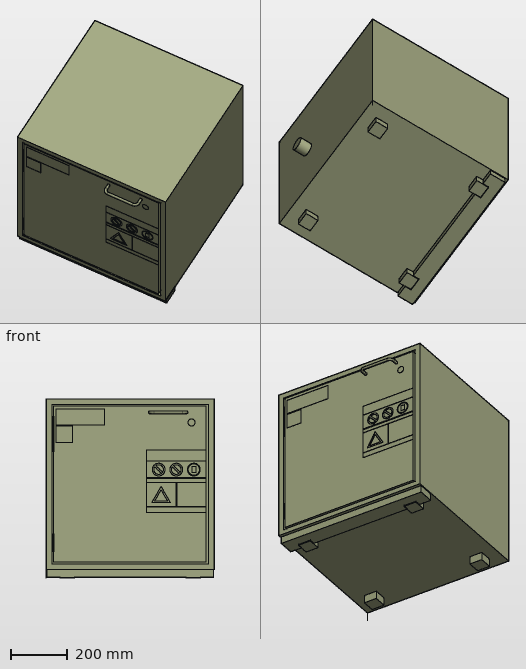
import cadquery as cq
import math


total_depth = 658.0
total_height = 631.0
cabinet_width = 593.0
cabinet_depth = 574.0
cabinet_height = 600.0
cabinet_base = total_height - cabinet_height
cabinet_left = -cabinet_width / 2

recess_margin = 20.5
recess_margin_bottom = 18.5
door_thickness = 39.5
gap_left = 6.0
gap_right = 8.5
gap_top = 4.0
gap_bottom = 7.0
recess_left = cabinet_left + recess_margin
recess_right = -recess_left
recess_top = total_height - recess_margin
recess_bottom = cabinet_base + recess_margin_bottom
door_left = recess_left + gap_left
door_right = recess_right - gap_right
door_top = recess_top - gap_top
door_bottom = recess_bottom + gap_bottom

hinge_diameter = 5.0
hinge_overlap = 1.0
hinge_setout = 1.0
upper_hinge_length = 124.0
upper_hinge_bottom = 445.5
lower_hinge_length = 62.0
lower_hinge_bottom = 94.0

lock_diameter = 25.0
lock_x = 216.0
lock_z = 548.0

label_height = 0.3
label_seam = 0.5
corner_label_left = -261.0
corner_label_top = 595.5
corner_label_width = 172.0
corner_label_height = 57.0
small_label_size = 58.5
sign_label_left = 57.0
sign_label_top = 451.0
title_height = 38.0
pictogram_row_height = 59.0
caption_height = 14.0
warning_height = 85.5
footer_height = 20.5
label_gap = 2.5
warning_width = 104.5

sign_diameter = 45.0
prohibition_inner_diameter = 33.5
mandatory_inner_diameter = 40.0
sign_bar_width = 6.0
sign_spacing = 62.0
first_sign_x = 100.0
signs_z = 382.0
can_width = 14.5
can_height = 20.5
triangle_x = 108.5
triangle_base_z = 266.0
triangle_width = 66.0
triangle_border = 6.0

handle_diameter = 10.0
handle_bend_inner_diameter = 20.0
handle_bend_radius = (handle_bend_inner_diameter + handle_diameter) / 2
handle_reach = 39.0
handle_width = 139.0
handle_x = 133.5
handle_z = 583.5

duct_diameter = 50.0
duct_length = total_depth - cabinet_depth - handle_reach
duct_x = 115.0
duct_z = 296.0
corner_strip_size = 0.5

foot_size = 50.0
foot_side_inset = 50.0
front_foot_inset = 50.0
rear_foot_inset = 47.5
foot_height = cabinet_base
plinth_side_inset = 2.5
plinth_setback = 12.0
plinth_depth = 62.0
plinth_height = 27.5


def block(left, front, bottom, width, depth, height):
    """Box given by its left, front, bottom corner and its sizes."""
    return cq.Workplane("XY").box(width, depth, height, centered=False).translate((left, front, bottom))


def front_plane(x, z, height=0.0):
    """Sketch plane facing the front, centred at x, z and standing `height` out of the front face."""
    return cq.Workplane("XZ", origin=(x, -height, z))


def make_carcass():
    """Cabinet block with the door recess, the rear duct and the thin strip down its rear left corner."""
    carcass = block(cabinet_left, 0, cabinet_base, cabinet_width, cabinet_depth, cabinet_height)
    carcass = carcass.cut(
        block(
            recess_left,
            0,
            recess_bottom,
            recess_right - recess_left,
            door_thickness,
            recess_top - recess_bottom,
        )
    )
    duct = (
        cq.Workplane("XZ", origin=(duct_x, cabinet_depth, duct_z))
        .circle(duct_diameter / 2)
        .extrude(-duct_length)
    )
    corner_strip = block(
        cabinet_left,
        cabinet_depth - corner_strip_size,
        0,
        corner_strip_size,
        corner_strip_size,
        total_height,
    )
    return carcass.union(duct).union(corner_strip)


def label_plate(left, top, width, height):
    """Thin plate on the door front, held back by half a seam on every side."""
    return block(
        left + label_seam / 2,
        -label_height,
        top - height + label_seam / 2,
        width - label_seam,
        label_height,
        height - label_seam,
    )


def make_corner_labels():
    """Wide plate in the upper left corner with a small square plate below it."""
    small_label_top = corner_label_top - corner_label_height - label_gap
    return [
        label_plate(corner_label_left, corner_label_top, corner_label_width, corner_label_height),
        label_plate(corner_label_left, small_label_top, small_label_size, small_label_size),
    ]


def make_sign_labels():
    """Stack of plates, from the title down to the footer; the warning row is split in two."""
    width = door_right - sign_label_left
    pictogram_top = sign_label_top - title_height
    caption_top = pictogram_top - pictogram_row_height - label_gap
    warning_top = caption_top - caption_height
    footer_top = warning_top - warning_height
    rating_left = sign_label_left + warning_width + label_gap
    return [
        label_plate(sign_label_left, sign_label_top, width, title_height),
        label_plate(sign_label_left, pictogram_top, width, pictogram_row_height),
        label_plate(sign_label_left, caption_top, width, caption_height),
        label_plate(sign_label_left, warning_top, warning_width, warning_height),
        label_plate(rating_left, warning_top, door_right - rating_left, warning_height),
        label_plate(sign_label_left, footer_top, width, footer_height),
    ]


def sign_ring(x, inner_diameter):
    """Round border of a pictogram."""
    ring = front_plane(x, signs_z, label_height).circle(sign_diameter / 2).circle(inner_diameter / 2)
    return ring.extrude(label_height)


def prohibition_sign(x):
    """Ring crossed by a bar that falls from upper left to lower right."""
    middle_diameter = (sign_diameter + prohibition_inner_diameter) / 2
    bar = (
        front_plane(x, signs_z, label_height)
        .transformed(rotate=(0, 0, -45))
        .rect(middle_diameter, sign_bar_width)
        .extrude(label_height)
    )
    return sign_ring(x, prohibition_inner_diameter).union(bar)


def warning_triangle():
    """Triangular border with equal sides; the circle through its corners is four inradii across."""
    inradius = triangle_width * math.sqrt(3) / 6
    outer_diameter = 4 * inradius
    inner_diameter = 4 * (inradius - triangle_border)
    outline = front_plane(triangle_x, triangle_base_z + inradius, label_height).transformed(rotate=(0, 0, 90))
    return outline.polygon(3, outer_diameter).polygon(3, inner_diameter).extrude(label_height)


def make_pictograms():
    """Two prohibition signs, a ring around a can, and a warning triangle."""
    mandatory_x = first_sign_x + 2 * sign_spacing
    can = front_plane(mandatory_x, signs_z, label_height).rect(can_width, can_height).extrude(label_height)
    return [
        prohibition_sign(first_sign_x),
        prohibition_sign(first_sign_x + sign_spacing),
        sign_ring(mandatory_x, mandatory_inner_diameter),
        can,
        warning_triangle(),
    ]


def hinge_knuckle(bottom, length):
    """Upright round knuckle in the left door gap, joined to the door edge and proud of it."""
    knuckle_x = door_left - hinge_diameter / 2 + hinge_overlap
    knuckle = cq.Workplane("XY", origin=(knuckle_x, -hinge_setout, bottom)).circle(hinge_diameter / 2)
    return knuckle.extrude(length)


def make_door():
    """Door slab carrying the lock, hinge knuckles and raised labels."""
    door = block(
        door_left,
        0,
        door_bottom,
        door_right - door_left,
        door_thickness,
        door_top - door_bottom,
    )
    lock = front_plane(lock_x, lock_z).circle(lock_diameter / 2).extrude(label_height)
    details = [
        lock,
        hinge_knuckle(upper_hinge_bottom, upper_hinge_length),
        hinge_knuckle(lower_hinge_bottom, lower_hinge_length),
        *make_corner_labels(),
        *make_sign_labels(),
        *make_pictograms(),
    ]
    for detail in details:
        door = door.union(detail)
    return door


def make_handle():
    """Round bar swept along a U with two rounded corners."""
    leg_offset = (handle_width - handle_diameter) / 2
    bar_y = -(handle_reach - handle_diameter / 2)
    bend_start_y = bar_y + handle_bend_radius
    bend_end_offset = leg_offset - handle_bend_radius
    path = (
        cq.Workplane("XY", origin=(handle_x, 0, handle_z))
        .moveTo(-leg_offset, 0)
        .lineTo(-leg_offset, bend_start_y)
        .radiusArc((-bend_end_offset, bar_y), -handle_bend_radius)
        .lineTo(bend_end_offset, bar_y)
        .radiusArc((leg_offset, bend_start_y), -handle_bend_radius)
        .lineTo(leg_offset, 0)
    )
    return front_plane(handle_x - leg_offset, handle_z).circle(handle_diameter / 2).sweep(path)


def make_feet():
    left_foot_x = cabinet_left + foot_side_inset
    rear_foot_y = cabinet_depth - rear_foot_inset - foot_size
    return [
        block(x, y, 0, foot_size, foot_size, foot_height)
        for x in (left_foot_x, -left_foot_x - foot_size)
        for y in (front_foot_inset, rear_foot_y)
    ]


def make_plinth(feet):
    """Bar under the front edge, notched where the front feet reach into it."""
    plinth = block(
        cabinet_left + plinth_side_inset,
        plinth_setback,
        cabinet_base - plinth_height,
        cabinet_width - 2 * plinth_side_inset,
        plinth_depth,
        plinth_height,
    )
    for foot in feet:
        plinth = plinth.cut(foot)
    return plinth


carcass = make_carcass()
door = make_door()
handle = make_handle()
feet = make_feet()
plinth = make_plinth(feet)

result = cq.Compound.makeCompound(
    [carcass.val(), door.val(), handle.val(), plinth.val(), *[foot.val() for foot in feet]]
)